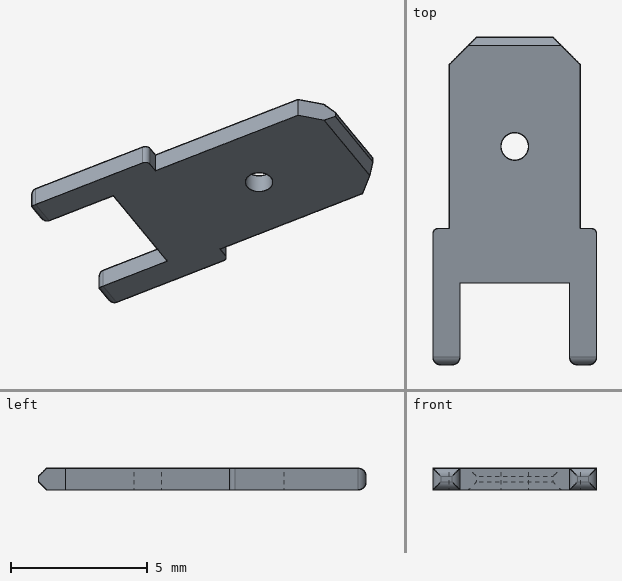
import cadquery as cq

thickness = 0.8
overall_width = 6.0
overall_length = 12.0

blade_width = 4.8
blade_corner_chamfer = 1.0
blade_tip_bevel = 0.3
hole_diameter = 1.0
hole_y = 8.0

shoulder_y = 5.0
shoulder_radius = 0.2
leg_width = 1.0
leg_length = 3.0
leg_tip_radius = 0.3

leg_gap = overall_width - 2 * leg_width


def plate(width, y_start, y_end):
    """Full-thickness rectangular plate centred on X = 0 and Z = 0."""
    length = y_end - y_start
    return cq.Workplane("XY").box(width, length, thickness).translate((0, (y_start + y_end) / 2, 0))


def make_blade():
    """Tab with chamfered corners and a tip bevelled on both faces."""
    blade = plate(blade_width, leg_length, overall_length)
    blade = blade.edges("|Z and >Y").chamfer(blade_corner_chamfer)
    blade = blade.faces(">Y").edges("|X").chamfer(blade_tip_bevel)
    hole = cq.Workplane("XY").cylinder(thickness, hole_diameter / 2).translate((0, hole_y, 0))
    return blade.cut(hole)


def make_base():
    """Wide base with rounded shoulders, slotted into two legs with rounded tips."""
    base = plate(overall_width, 0, shoulder_y)
    base = base.edges("|Z and >Y").fillet(shoulder_radius)
    base = base.cut(plate(leg_gap, 0, leg_length))
    return base.faces("<Y").edges().fillet(leg_tip_radius)


result = make_base().union(make_blade()).clean()